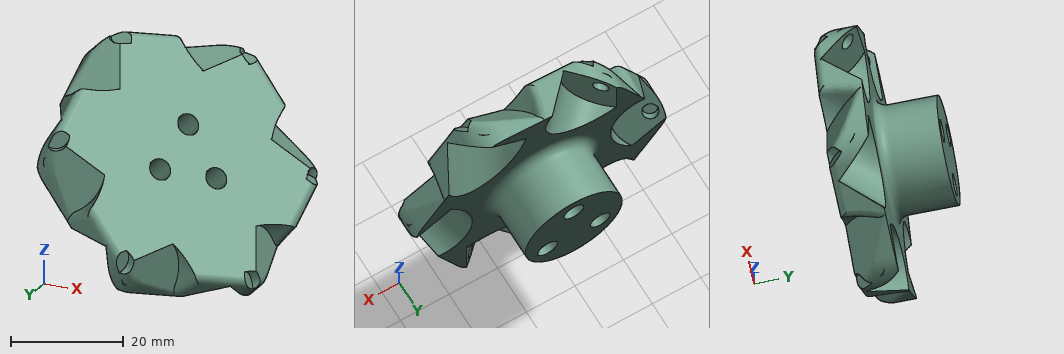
import cadquery as cq
import math


tooth_count = 6
disc_thickness = 8.0
across_flats = 46.75
corner_radius = 6.95
outline_tilt = 4.6
rim_fillet = 1.5

total_depth = 19.25
hub_radius = 10.0
hub_root_fillet = 2.0
mount_hole_radius = 2.0
mount_circle_radius = 6.25
mount_hole_count = 3
first_mount_hole_angle = 90

pocket_floor_x = -13.15
pocket_y = 3.05
pocket_z = 18.95
pocket_radius = 9.0

seat_floor_x = -10.9
seat_y = 1.05
seat_z = 22.15
seat_radius = 2.5

notch_floor_x = -7.45
notch_y = 6.0
notch_z = 19.55
notch_radius = 7.5

pin_hole_radius = 1.5
pin_hole_depth = 2.0

cut_length = 25.85
end_margin = 5.15

FRONTWARD = -1
REARWARD = 1


def hexagon_prism(front, rear):
    """Hexagonal prism with rounded corners between two Y positions."""
    across_corners = across_flats / math.cos(math.pi / tooth_count)
    return (
        cq.Workplane("XZ", origin=(0, front, 0))
        .polygon(tooth_count, across_corners)
        .extrude(front - rear)
        .edges("|Y")
        .fillet(corner_radius)
        .rotate((0, 0, 0), (0, 1, 0), -outline_tilt)
    )


def inclined_cylinder(floor_x, y, z, radius, length, heading):
    """Cylinder standing square on an inclined floor, heading frontward or rearward."""
    centre = cq.Vector(floor_x - y, y, z)
    direction = cq.Vector(heading, heading, 0)
    return cq.Solid.makeCylinder(radius, length, centre, direction)


def cut_each_tooth(body, cutter):
    """Cut the same shape from every tooth."""
    for tooth in range(tooth_count):
        angle = tooth * 360.0 / tooth_count
        body = body.cut(cq.Workplane(cutter.rotate((0, 0, 0), (0, 1, 0), angle)))
    return body


def make_fluted_prism():
    """Overlong prism with the chip pockets cut and their rim edges rounded."""
    pocket = inclined_cylinder(
        pocket_floor_x, pocket_y, pocket_z, pocket_radius, cut_length, FRONTWARD
    )
    prism = hexagon_prism(-end_margin, disc_thickness + end_margin)
    fluted = cut_each_tooth(prism, pocket)
    pocket_rim = "not (<Y or >Y or |Y or %CIRCLE)"
    return fluted.edges(pocket_rim).fillet(rim_fillet)


def make_disc():
    """Disc with a rounded front rim, chip pockets, insert seats and rear notches."""
    blank = hexagon_prism(0, disc_thickness).faces("<Y").edges().fillet(rim_fillet)
    disc = blank.intersect(make_fluted_prism())
    seat = inclined_cylinder(seat_floor_x, seat_y, seat_z, seat_radius, cut_length, FRONTWARD)
    notch = inclined_cylinder(
        notch_floor_x, notch_y, notch_z, notch_radius, cut_length, REARWARD
    )
    pin_hole = inclined_cylinder(
        notch_floor_x, notch_y, notch_z, pin_hole_radius, pin_hole_depth, FRONTWARD
    )
    for cutter in (seat, notch, pin_hole):
        disc = cut_each_tooth(disc, cutter)
    return disc


def make_hub():
    """Round hub whose foot flares onto the rear face of the disc."""
    fillet_centre_x = hub_radius + hub_root_fillet
    fillet_centre_y = disc_thickness + hub_root_fillet
    arc_middle = (
        fillet_centre_x - hub_root_fillet * math.sqrt(0.5),
        fillet_centre_y - hub_root_fillet * math.sqrt(0.5),
    )
    return (
        cq.Workplane("XY")
        .moveTo(0, disc_thickness)
        .lineTo(fillet_centre_x, disc_thickness)
        .threePointArc(arc_middle, (hub_radius, fillet_centre_y))
        .lineTo(hub_radius, total_depth)
        .lineTo(0, total_depth)
        .close()
        .revolve(360, (0, 0, 0), (0, 1, 0))
    )


def make_mount_holes():
    """Three holes through the disc and the hub."""
    return (
        cq.Workplane("XZ")
        .polarArray(mount_circle_radius, first_mount_hole_angle, 360, mount_hole_count)
        .circle(mount_hole_radius)
        .extrude(-total_depth)
    )


result = make_disc().union(make_hub()).cut(make_mount_holes())